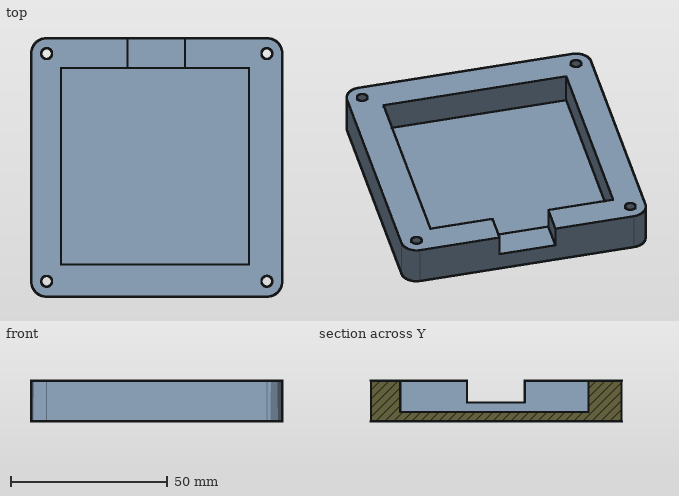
import cadquery as cq

width = 80.5
length = 82.9
height = 13.0
corner_radius = 5.0

pocket_width = 60.3
pocket_length = 63.0
pocket_depth = 10.0
left_wall = 9.5
back_wall = 9.5

notch_width = 18.4
notch_left = 30.9
notch_depth = 7.0

hole_diameter = 3.4
hole_inset = corner_radius


def top_cut(size_x, size_y, depth, left, back):
    """Box sunk from the top face; left and back are distances from those outer sides."""
    return cq.Workplane("XY").box(size_x, size_y, depth, centered=False).translate(
        (left - width / 2, length / 2 - back - size_y, height - depth)
    )


body = cq.Workplane("XY").box(width, length, height, centered=(True, True, False))
body = body.edges("|Z").fillet(corner_radius)

pocket = top_cut(pocket_width, pocket_length, pocket_depth, left_wall, back_wall)
notch = top_cut(notch_width, back_wall, notch_depth, notch_left, 0)

result = (
    body.cut(pocket)
    .cut(notch)
    .faces(">Z")
    .workplane(origin=(0, 0, height))
    .rarray(width - 2 * hole_inset, length - 2 * hole_inset, 2, 2)
    .hole(hole_diameter)
)